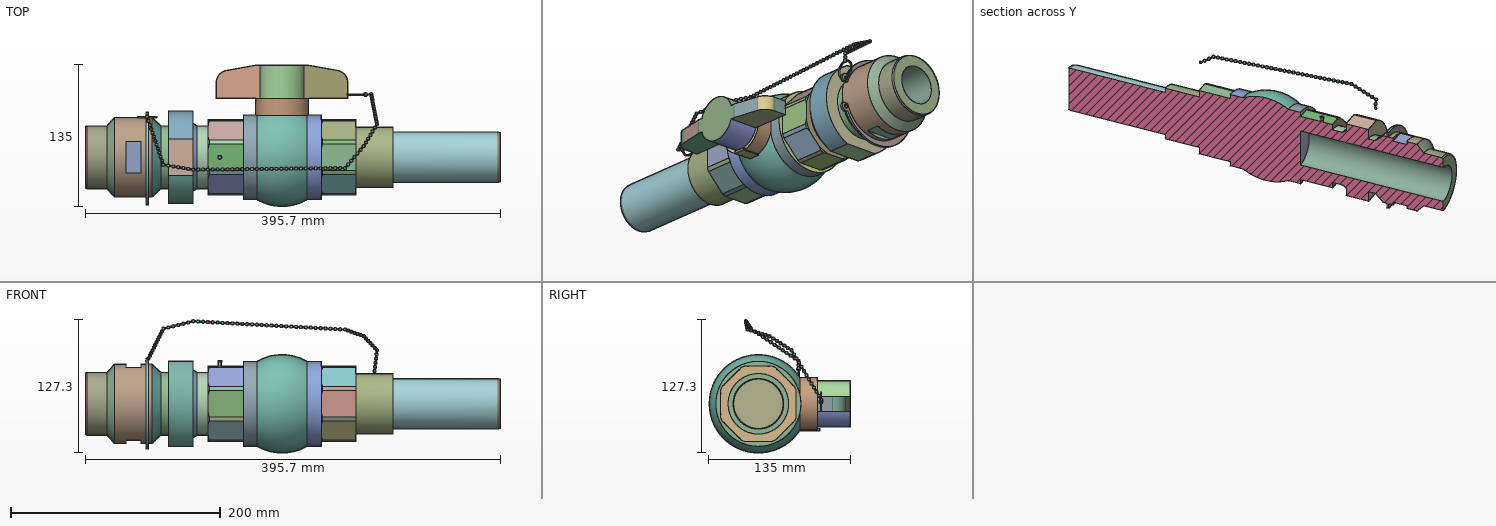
import cadquery as cq
import math


length = 395.7
spigot_radius = 60.0 / 2
spigot_chamfer = 1.5
spigot_chamfer_depth = 0.8
bulge_radius = 76.0 / 2
front_cone_start = 20.5
front_cone_end = 27.7
rear_cone_start = 63.7
rear_cone_end = 72.0
bore_radius = 38.0 / 2

flat_start = 38.8
flat_end = 53.0
flat_height = 69.5 / 2

clip_start = 57.8
clip_thickness = 2.5
clip_radius = 43.0
clip_offset = -2.5
clip_gap = 22.5
lug_y = 38.5
lug_z = 14.5
lug_radius = 4.7
lug_hole_diameter = 3.8

union_start = 79.0
union_end = 103.0
union_radius = 88.5 / 2
union_flat_height = 81.5 / 2
neck_cone_end = 106.5
neck_cone_radius = 32.5

left_nut_start = 117.0
nut_across_flats = 72.0
nut_corner_radius = 76.5 / 2
nut_chamfer = 1.0

collar_start = 150.8
collar_end = 225.0
collar_radius = 81.0 / 2
ball_x = 187.5
ball_radius = 94.0 / 2
right_nut_end = 258.0

sleeve_end = 293.5
sleeve_radius = 57.8 / 2
pipe_radius = 48.3 / 2
pipe_end_radius = 47.0 / 2
pipe_chamfer = 2.5

stem_radius = 50.5 / 2
stem_top = 56.0
handle_top = 88.0
boss_radius = 44.5 / 2
wing_half_span = 63.0
wing_half_thickness = 7.0
wing_tip_y = 81.0
wing_fillet = 12.3
stop_lug_width = 12.0
stop_lug_thickness = 2.5
stop_lug_bottom = 25.7
stop_lug_start = 35.5
stop_lug_end = 58.5

pin_x = 128.2
pin_stem_diameter = 3.0
pin_head_diameter = 3.8
pin_head_thickness = 1.0
pin_top = 41.0

bead_diameter = 3.0
end_bead_diameter = 3.8
bead_pitch = 4.7
cord_diameter = 1.0
ring_diameter = 19.0
ring_wire_diameter = 1.4
clip_ring_center = (clip_start + clip_thickness / 2, lug_y, 23.7)
handle_ring_center = (257.5, 59.8, 2.0)

clip_ring_top = cq.Vector(clip_ring_center) + cq.Vector(0, 0, ring_diameter / 2)
handle_ring_side = cq.Vector(handle_ring_center) + cq.Vector(ring_diameter / 2, 0, 0)
chain_corners = [
    clip_ring_top,
    (clip_ring_top.x, lug_y, 40.8),
    (74.5, -7.0, 71.5),
    (103.0, -12.0, 78.8),
    (247.7, -10.3, 71.0),
    (265.5, 10.5, 64.5),
    (278.2, 31.5, 51.0),
    (272.5, 60.0, 3.5),
    handle_ring_side,
]


def disc(start, end, radius):
    """Cylinder about the pipe axis between two X places."""
    return cq.Workplane("YZ", origin=(start, 0, 0)).circle(radius).extrude(end - start)


def make_turned_body():
    """Spigot, bulge, neck, collar with its ball, sleeve and pipe, turned about the X axis."""
    ball_half_width = math.sqrt(ball_radius**2 - collar_radius**2)
    inlet_outline = [
        (0, 0),
        (0, spigot_radius - spigot_chamfer_depth),
        (spigot_chamfer, spigot_radius),
        (front_cone_start, spigot_radius),
        (front_cone_end, bulge_radius),
        (rear_cone_start, bulge_radius),
        (rear_cone_end, spigot_radius),
        (union_end, spigot_radius),
        (union_end, neck_cone_radius),
        (neck_cone_end, spigot_radius),
        (collar_start, spigot_radius),
        (collar_start, collar_radius),
        (ball_x - ball_half_width, collar_radius),
    ]
    outlet_outline = [
        (collar_end, collar_radius),
        (collar_end, sleeve_radius),
        (sleeve_end, sleeve_radius),
        (sleeve_end, pipe_radius),
        (length - pipe_chamfer, pipe_radius),
        (length, pipe_end_radius),
        (length, 0),
    ]
    outline = cq.Workplane("XY").polyline(inlet_outline)
    outline = outline.threePointArc((ball_x, ball_radius), (ball_x + ball_half_width, collar_radius))
    for point in outlet_outline:
        outline = outline.lineTo(*point)
    body = outline.close().revolve(360, (0, 0, 0), (1, 0, 0))
    pocket_depth = bulge_radius - flat_height
    for side in (1, -1):
        pocket = cq.Workplane("XY").box(flat_end - flat_start, 2 * bulge_radius, pocket_depth)
        pocket_center = ((flat_start + flat_end) / 2, 0, side * (flat_height + pocket_depth / 2))
        body = body.cut(pocket.translate(pocket_center))
    return body


def make_clip():
    """Plate with an open side and two holed lugs; its middle merges into the bulge."""
    plane = cq.Workplane("YZ", origin=(clip_start, 0, 0))
    clip = plane.center(clip_offset, 0).circle(clip_radius).extrude(clip_thickness)
    lug_places = [(lug_y, lug_z), (lug_y, -lug_z)]
    clip = clip.union(plane.pushPoints(lug_places).circle(lug_radius).extrude(clip_thickness))
    gap = plane.center(clip_radius, 0).rect(clip_radius, clip_gap).extrude(clip_thickness)
    holes = plane.pushPoints(lug_places).circle(lug_hole_diameter / 2).extrude(clip_thickness)
    return clip.cut(gap).cut(holes)


def make_union_nut():
    """Round nut with a flat above and below."""
    slab = cq.Workplane("XY").box(2 * length, 2 * union_radius, 2 * union_flat_height)
    return disc(union_start, union_end, union_radius).intersect(slab)


def make_octagon_nut(start, end):
    """Octagonal nut with rounded corners, chamfered at its spigot-side end."""
    octagon = (
        cq.Workplane("YZ", origin=(start, 0, 0))
        .polygon(8, nut_across_flats, circumscribed=True)
        .extrude(end - start)
    )
    rounding = disc(start, end, nut_corner_radius).faces("<X").chamfer(nut_chamfer)
    return octagon.intersect(rounding)


def make_handle():
    """Stem, boss, two tapering wings and a stop lug along the underside of the stem."""
    base = cq.Workplane("XZ", origin=(ball_x, 0, 0))
    stem = base.circle(stem_radius).extrude(-stem_top)
    boss = base.circle(boss_radius).extrude(-handle_top)
    wings = (
        cq.Workplane("XY", origin=(ball_x, 0, -wing_half_thickness))
        .moveTo(-wing_half_span, stem_top)
        .lineTo(wing_half_span, stem_top)
        .lineTo(wing_half_span, wing_tip_y)
        .lineTo(stem_radius, handle_top)
        .lineTo(-stem_radius, handle_top)
        .lineTo(-wing_half_span, wing_tip_y)
        .close()
        .extrude(2 * wing_half_thickness)
    )
    wings = wings.edges("|Z").edges("<X or >X").edges(">Y").fillet(wing_fillet)
    stop_lug = cq.Workplane("XY").box(stop_lug_width, stop_lug_end - stop_lug_start, stop_lug_thickness)
    lug_center = (ball_x, (stop_lug_start + stop_lug_end) / 2, stop_lug_thickness / 2 - stop_lug_bottom)
    return stem.union(boss).union(wings).union(stop_lug.translate(lug_center))


def make_pin():
    """Small headed pin standing on the upper flat of the left nut."""
    base = cq.Workplane("XY", origin=(pin_x, 0, spigot_radius))
    stem = base.circle(pin_stem_diameter / 2).extrude(pin_top - spigot_radius)
    head = cq.Workplane("XY", origin=(pin_x, 0, pin_top - pin_head_thickness))
    return stem.union(head.circle(pin_head_diameter / 2).extrude(pin_head_thickness))


def make_ring(center):
    """Wire ring lying in a plane square to Y."""
    wire_radius = ring_wire_diameter / 2
    mean_radius = ring_diameter / 2 - wire_radius
    return cq.Solid.makeTorus(mean_radius, wire_radius, cq.Vector(center), cq.Vector(0, 1, 0))


def make_beaded_cord(start, end):
    """Straight cord between two corners with evenly spaced beads, turned in one piece."""
    run = end - start
    gap_count = max(1, round(run.Length / bead_pitch))
    cord_radius = cord_diameter / 2
    bead_radius = bead_diameter / 2
    half_bead = math.sqrt(bead_radius**2 - cord_radius**2)
    plane = cq.Plane(start, xDir=run, normal=run.cross(cq.Vector(0, 1, 0)))
    profile = cq.Workplane(plane).lineTo(0, cord_radius)
    for bead in range(1, gap_count):
        bead_center = run.Length * bead / gap_count
        profile = (
            profile.lineTo(bead_center - half_bead, cord_radius)
            .threePointArc((bead_center, bead_radius), (bead_center + half_bead, cord_radius))
        )
    profile = profile.lineTo(run.Length, cord_radius).lineTo(run.Length, 0).close()
    return profile.revolve(360, (0, 0, 0), (1, 0, 0))


def make_chain():
    """Beaded cord through all corners, with a bead on each corner and a larger one at each end."""
    corners = [cq.Vector(corner) for corner in chain_corners]
    chain = make_beaded_cord(corners[0], corners[1])
    for start, end in zip(corners[1:], corners[2:]):
        chain = chain.union(make_beaded_cord(start, end))
    for corner in corners:
        is_end = corner is corners[0] or corner is corners[-1]
        diameter = end_bead_diameter if is_end else bead_diameter
        chain = chain.union(cq.Workplane("XY", origin=corner.toTuple()).sphere(diameter / 2))
    return chain


valve = (
    make_turned_body()
    .union(make_clip())
    .union(make_union_nut())
    .union(make_octagon_nut(left_nut_start, collar_start))
    .union(make_octagon_nut(collar_end, right_nut_end))
    .union(make_handle())
    .union(make_pin())
    .cut(disc(0, collar_start, bore_radius))
)
chain = make_chain()
for ring_center in (clip_ring_center, handle_ring_center):
    chain = chain.union(cq.Workplane(make_ring(ring_center)))
result = valve.union(chain)